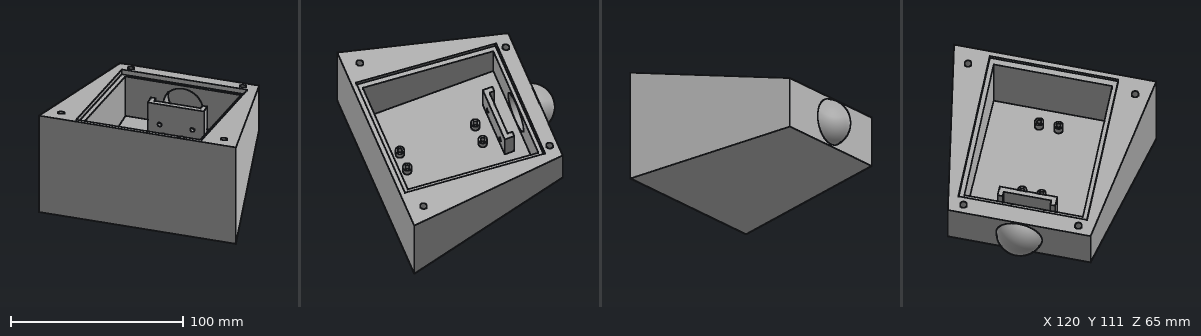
import cadquery as cq
import math

body_width = 120.0
body_height = 65.0
body_depth = 100.0
taper_angle = 10.0
taper_inset = body_depth * math.tan(math.radians(taper_angle))
rear_width = body_width - 2 * taper_inset
rear_height = body_height - 2 * taper_inset

recess_width = 76.3
recess_front = 3.0
recess_rear = 90.6
recess_depth = 3.0

ledge_width = 3.0
cavity_width = recess_width - 2 * ledge_width
cavity_front = recess_front + ledge_width
cavity_rear = 87.6
floor_z = -12.5

screw_diameter = 4.0
screw_depth = 10.0
screw_spots = [(49.5, 10.0), (34.1, 95.0)]

standoff_diameter = 5.0
standoff_bore = 2.5
standoff_height = 5.0
standoff_x = 5.8
standoff_rows = [17.4, 64.5]

bracket_width = 34.2
bracket_front = 73.8
bracket_depth = 6.0
bracket_wall = 3.0
bracket_height = 20.0
bracket_hole_diameter = 2.5
bracket_hole_x = 10.0
bracket_hole_height = 6.4
bracket_hole_z = floor_z + bracket_hole_height

dome_diameter = 28.0
dome_seat_depth = 3.0
dome_center_y = body_depth - dome_seat_depth
opening_diameter = 24.0


def top_surface_z(y):
    """Height of the sloping top face at distance y from the front."""
    return body_height / 2 - y * math.tan(math.radians(taper_angle))


def top_plane(y):
    """Plane lying on the top face, with its origin on the middle plane at y."""
    slope = math.radians(taper_angle)
    return cq.Plane(
        origin=(0, y, top_surface_z(y)),
        xDir=(1, 0, 0),
        normal=(0, math.sin(slope), math.cos(slope)),
    )


def upright_box(width, front, rear, bottom, top):
    """Box centered across the part between the given limits."""
    return (
        cq.Workplane("XY", origin=(0, (front + rear) / 2, bottom))
        .box(width, rear - front, top - bottom, centered=(True, True, False))
    )


def tapered_body():
    return (
        cq.Workplane(cq.Plane(origin=(0, 0, 0), xDir=(1, 0, 0), normal=(0, 1, 0)))
        .rect(body_width, body_height)
        .workplane(offset=body_depth)
        .rect(rear_width, rear_height)
        .loft(ruled=True)
    )


def cover_recess():
    middle = (recess_front + recess_rear) / 2
    length = (recess_rear - recess_front) / math.cos(math.radians(taper_angle))
    return (
        cq.Workplane(top_plane(middle))
        .rect(recess_width, length)
        .extrude(-recess_depth)
    )


def screw_hole(x, y):
    bottom = top_surface_z(y) - screw_depth
    return (
        cq.Workplane("XY", origin=(x, y, bottom))
        .circle(screw_diameter / 2)
        .extrude(body_height)
    )


def standoff(x, y):
    return (
        cq.Workplane("XY", origin=(x, y, floor_z))
        .circle(standoff_diameter / 2)
        .circle(standoff_bore / 2)
        .extrude(standoff_height)
    )


def sensor_bracket():
    rear = bracket_front + bracket_depth
    top = floor_z + bracket_height
    bracket = upright_box(bracket_width, bracket_front, rear, floor_z, top)
    channel = upright_box(
        bracket_width - 2 * bracket_wall, bracket_front + bracket_wall, rear, floor_z, top
    )
    holes = (
        cq.Workplane("XZ", origin=(0, bracket_front, bracket_hole_z))
        .pushPoints([(-bracket_hole_x, 0), (bracket_hole_x, 0)])
        .circle(bracket_hole_diameter / 2)
        .extrude(-bracket_wall)
    )
    return bracket.cut(channel).cut(holes)


def dome_opening():
    return (
        cq.Workplane("XZ", origin=(0, cavity_rear, 0))
        .circle(opening_diameter / 2)
        .extrude(cavity_rear - dome_center_y)
    )


result = tapered_body()
result = result.union(cq.Workplane("XY", origin=(0, dome_center_y, 0)).sphere(dome_diameter / 2))
result = result.cut(cover_recess())
result = result.cut(upright_box(cavity_width, cavity_front, cavity_rear, floor_z, body_height / 2))
result = result.cut(dome_opening())
result = result.union(sensor_bracket())
for side in (-1, 1):
    for screw_x, screw_y in screw_spots:
        result = result.cut(screw_hole(side * screw_x, screw_y))
    for row_y in standoff_rows:
        result = result.union(standoff(side * standoff_x, row_y))